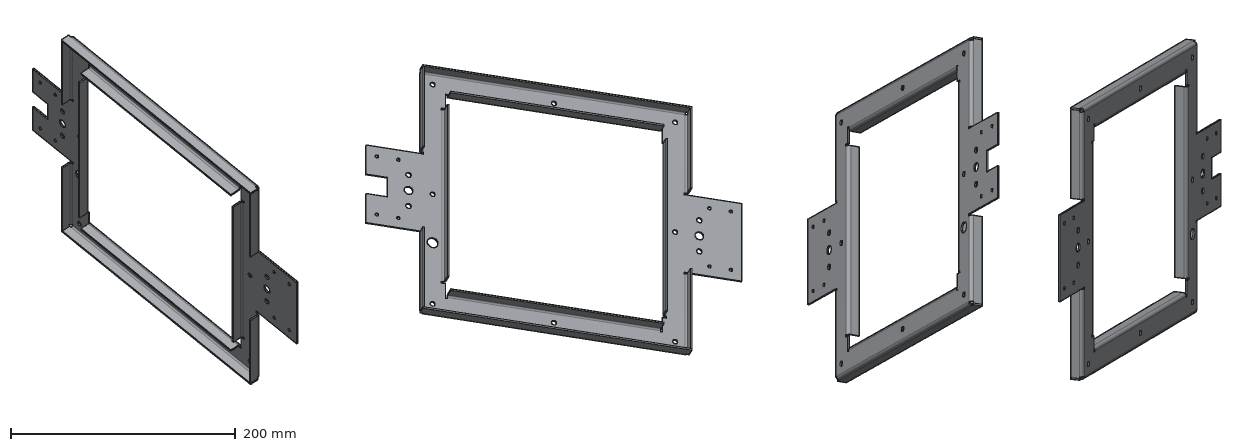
import cadquery as cq
import math

THICKNESS = 1.6
BEND_INNER_RADIUS = THICKNESS
BEND_OUTER_RADIUS = BEND_INNER_RADIUS + THICKNESS
DEPTH = 12.0
BACK_Y = DEPTH / 2
FRONT_Y = BACK_Y - DEPTH

HALF_FRAME = 251.0 / 2
HALF_WINDOW = 202.0 / 2
FRAME_BEND_LINE = HALF_FRAME - BEND_OUTER_RADIUS
WINDOW_BEND_LINE = HALF_WINDOW + BEND_OUTER_RADIUS

RELIEF_WIDTH = THICKNESS
RELIEF_DEPTH = 4.0

HALF_TAB_SPAN = 350.0 / 2
HALF_TAB_HEIGHT = 80.0 / 2
NOTCH_SIZE = 20.0

CORNER_GAP = 0.1
SIDE_FLANGE_START = HALF_TAB_HEIGHT + RELIEF_WIDTH
SIDE_FLANGE_END = HALF_FRAME - THICKNESS - CORNER_GAP
WINDOW_SIDE_FLANGE_END = 177.0 / 2
WINDOW_TOP_FLANGE_END = HALF_WINDOW - RELIEF_WIDTH

FRAME_HOLE_DIAMETER = 4.5
FRAME_HOLE_OFFSET = HALF_FRAME - 12.5
CABLE_HOLE_DIAMETER = 10.0
CABLE_HOLE_Z = -50.0
TAB_HOLE_X = 135.5
TAB_CENTER_HOLE_DIAMETER = 8.0
TAB_SIDE_HOLE_DIAMETER = 5.0
TAB_SIDE_HOLE_Z = 16.0
SMALL_HOLE_DIAMETER = 3.0
SMALL_HOLE_X = (145.0, 165.0)
SMALL_HOLE_Z = 30.0

HOLE_TOOL_LENGTH = 3 * THICKNESS

SIDES = (-1, 1)


def sheet(x_min, x_max, z_min, z_max):
    """Flat rectangle of sheet lying in the web of the frame."""
    return (
        cq.Workplane("XY", origin=(x_min, BACK_Y - THICKNESS, z_min))
        .box(x_max - x_min, THICKNESS, z_max - z_min, centered=False)
    )


def flange_tip(start, end):
    """Unbent part of an outer flange on the +X side, reaching past the end of its bend."""
    return (
        cq.Workplane("XY", origin=(HALF_FRAME - THICKNESS, FRONT_Y, start))
        .box(THICKNESS, DEPTH - BEND_OUTER_RADIUS, end - start, centered=False)
    )


def flange(face, start, end, outward):
    """Bend and flange along Z with its outer face at x = face.

    The web joins from the -X side if outward is 1 and from the +X side if it is -1.
    """
    bend_x = face - outward * BEND_OUTER_RADIUS
    bend_y = BACK_Y - BEND_OUTER_RADIUS
    inner_x = face - outward * THICKNESS
    diagonal = math.cos(math.radians(45))
    outer_offset = diagonal * BEND_OUTER_RADIUS
    inner_offset = diagonal * BEND_INNER_RADIUS
    outer_mid = (bend_x + outward * outer_offset, bend_y + outer_offset)
    inner_mid = (bend_x + outward * inner_offset, bend_y + inner_offset)
    return (
        cq.Workplane("XY", origin=(0, 0, start))
        .moveTo(bend_x, BACK_Y)
        .threePointArc(outer_mid, (face, bend_y))
        .lineTo(face, FRONT_Y)
        .lineTo(inner_x, FRONT_Y)
        .lineTo(inner_x, bend_y)
        .threePointArc(inner_mid, (bend_x, BACK_Y - THICKNESS))
        .close()
        .extrude(end - start)
    )


def make_web():
    """Flat frame, tabs and corner tongues, ending at the bend lines."""
    outer = FRAME_BEND_LINE
    opening = WINDOW_BEND_LINE
    web = sheet(-outer, outer, -outer, outer)
    web = web.union(sheet(-HALF_TAB_SPAN, HALF_TAB_SPAN, -HALF_TAB_HEIGHT, HALF_TAB_HEIGHT))
    web = web.cut(sheet(-opening, opening, -opening, opening))
    tongue_end = WINDOW_SIDE_FLANGE_END + RELIEF_WIDTH
    tongue = sheet(HALF_WINDOW, opening, tongue_end, opening)
    tongue_pair = tongue.union(tongue.mirror("YZ"))
    return web.union(tongue_pair).union(tongue_pair.mirror("XY"))


def cut_reliefs(web):
    """Slits beside the tabs and at the ends of the window flanges."""
    window_relief = HALF_WINDOW + RELIEF_DEPTH
    slits = (
        (HALF_FRAME - RELIEF_DEPTH, HALF_FRAME, HALF_TAB_HEIGHT, SIDE_FLANGE_START),
        (HALF_WINDOW, window_relief, WINDOW_SIDE_FLANGE_END, WINDOW_SIDE_FLANGE_END + RELIEF_WIDTH),
        (WINDOW_TOP_FLANGE_END, HALF_WINDOW, HALF_WINDOW, window_relief),
    )
    for slit in slits:
        relief = sheet(*slit)
        relief_pair = relief.union(relief.mirror("YZ"))
        web = web.cut(relief_pair).cut(relief_pair.mirror("XY"))
    return web


def add_top_and_bottom_flanges(web):
    """Folded edges along X, shaped on the +X side and turned up to the top."""
    outer = flange(HALF_FRAME, -FRAME_BEND_LINE, FRAME_BEND_LINE, 1)
    outer = outer.union(flange_tip(FRAME_BEND_LINE, HALF_FRAME))
    outer = outer.union(flange_tip(-HALF_FRAME, -FRAME_BEND_LINE))
    window = flange(HALF_WINDOW, -WINDOW_TOP_FLANGE_END, WINDOW_TOP_FLANGE_END, -1)
    top = outer.union(window).rotate((0, 0, 0), (0, 1, 0), -90)
    return web.union(top).union(top.mirror("XY"))


def add_side_flanges(web):
    """Folded edges along Z; the outer ones are interrupted by the tabs."""
    outer = flange(HALF_FRAME, SIDE_FLANGE_START, FRAME_BEND_LINE, 1)
    outer = outer.union(flange_tip(FRAME_BEND_LINE, SIDE_FLANGE_END))
    window = flange(HALF_WINDOW, -WINDOW_SIDE_FLANGE_END, WINDOW_SIDE_FLANGE_END, -1)
    side = window.union(outer).union(outer.mirror("XY"))
    return web.union(side).union(side.mirror("YZ"))


def hole_tool(points, diameter):
    """Cylinders through the sheet at the given (x, z) points."""
    return (
        cq.Workplane("XZ", origin=(0, BACK_Y + THICKNESS, 0))
        .pushPoints(points)
        .circle(diameter / 2)
        .extrude(HOLE_TOOL_LENGTH)
    )


def cut_holes(web):
    """Frame, cable and tab holes."""
    pitch = (-FRAME_HOLE_OFFSET, 0, FRAME_HOLE_OFFSET)
    frame_points = [(x, z) for x in pitch for z in pitch if (x, z) != (0, 0)]
    center_points = [(side * TAB_HOLE_X, 0) for side in SIDES]
    side_points = [(x_side * TAB_HOLE_X, z_side * TAB_SIDE_HOLE_Z) for x_side in SIDES for z_side in SIDES]
    small_points = [
        (x_side * x, z_side * SMALL_HOLE_Z)
        for x in SMALL_HOLE_X for x_side in SIDES for z_side in SIDES
    ]
    holes = (
        (frame_points, FRAME_HOLE_DIAMETER),
        ([(-FRAME_HOLE_OFFSET, CABLE_HOLE_Z)], CABLE_HOLE_DIAMETER),
        (center_points, TAB_CENTER_HOLE_DIAMETER),
        (side_points, TAB_SIDE_HOLE_DIAMETER),
        (small_points, SMALL_HOLE_DIAMETER),
    )
    for points, diameter in holes:
        web = web.cut(hole_tool(points, diameter))
    return web


def cut_notch(web):
    """Square notch in the end of the -X tab."""
    left = -HALF_TAB_SPAN
    return web.cut(sheet(left, left + NOTCH_SIZE, -NOTCH_SIZE / 2, NOTCH_SIZE / 2))


frame_web = make_web()
frame_web = cut_reliefs(frame_web)
frame_web = cut_notch(frame_web)
frame_web = cut_holes(frame_web)
result = add_side_flanges(add_top_and_bottom_flanges(frame_web))